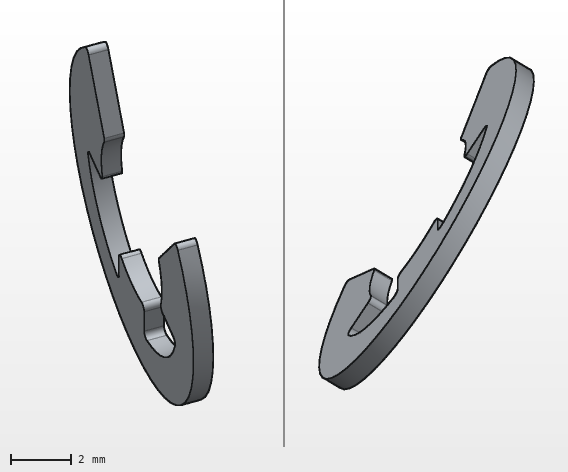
import cadquery as cq
import math

thickness = 0.7
outer_radius = 6.15
grip_radius = 3.0
relief_radius = 4.5
shoulder_z = -1.0
tab_width = 2.5
mouth_corner_z = 1.39
mouth_flank_angle = math.radians(31.0)
corner_round = 0.2

half_tab = tab_width / 2


def other_coordinate(radius, coordinate):
    """Size of the second coordinate of a point on a circle about the shaft axis."""
    return math.sqrt(radius**2 - coordinate**2)


mouth_corner_x = other_coordinate(grip_radius, mouth_corner_z)


def plate(sketch):
    """Give a closed XZ outline the ring thickness, centred on the XZ plane."""
    return sketch.extrude(thickness / 2, both=True)


def disc(radius):
    """Disc about the shaft axis."""
    return plate(cq.Workplane("XZ").circle(radius))


def mouth():
    """Flared opening through which the shaft enters."""
    top_z = outer_radius
    top_x = mouth_corner_x + (top_z - mouth_corner_z) * math.tan(mouth_flank_angle)
    outline = [
        (-mouth_corner_x, mouth_corner_z),
        (mouth_corner_x, mouth_corner_z),
        (top_x, top_z),
        (-top_x, top_z),
    ]
    return plate(cq.Workplane("XZ").polyline(outline).close())


def relief():
    """Two recesses below the side pads, one on each side of the bottom tab."""
    depth = relief_radius + shoulder_z
    middle_z = shoulder_z - depth / 2
    below_shoulders = plate(cq.Workplane("XZ").center(0, middle_z).rect(2 * relief_radius, depth))
    tab = plate(cq.Workplane("XZ").center(0, middle_z).rect(tab_width, depth))
    return disc(relief_radius).intersect(below_shoulders).cut(tab)


def mouth_tip():
    """Point where the +X mouth flank leaves the outer circle."""
    flank_x = math.sin(mouth_flank_angle)
    flank_z = math.cos(mouth_flank_angle)
    along_flank = mouth_corner_x * flank_x + mouth_corner_z * flank_z
    length = math.sqrt(along_flank**2 + outer_radius**2 - grip_radius**2) - along_flank
    return mouth_corner_x + length * flank_x, mouth_corner_z + length * flank_z


def round_corner_pair(body, x, z):
    """Round the mirrored through-thickness edges at (x, z) and (-x, z)."""
    for side in (-1, 1):
        nearest = cq.selectors.NearestToPointSelector((side * x, 0, z))
        body = body.edges("|Y").edges(nearest).fillet(corner_round)
    return body


ring = disc(outer_radius).cut(disc(grip_radius)).cut(relief()).cut(mouth())

corners = [
    mouth_tip(),
    (mouth_corner_x, mouth_corner_z),
    (other_coordinate(grip_radius, shoulder_z), shoulder_z),
    (other_coordinate(relief_radius, shoulder_z), shoulder_z),
    (half_tab, -other_coordinate(grip_radius, half_tab)),
    (half_tab, -other_coordinate(relief_radius, half_tab)),
]
for corner_x, corner_z in corners:
    ring = round_corner_pair(ring, corner_x, corner_z)

result = ring